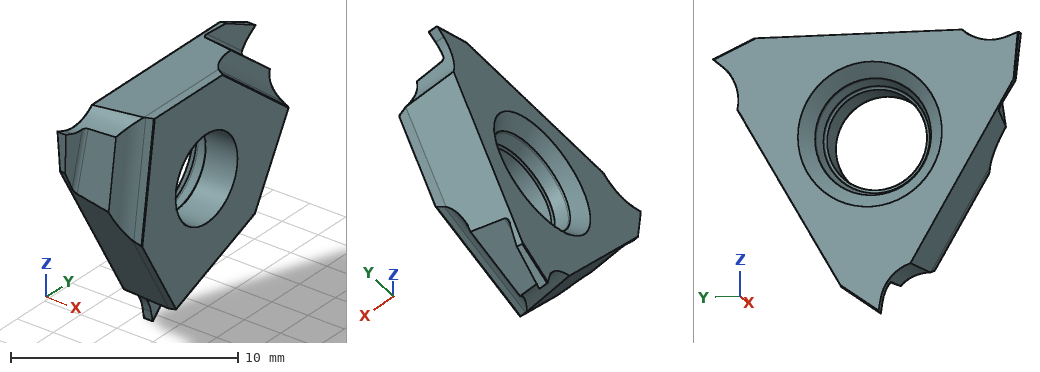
import cadquery as cq
import math


CORNERS = 3
CORNER_STEP = 360.0 / CORNERS
THICKNESS = 3.18
FAR = 20.0

SIDE_DISTANCE = 4.513
SIDE_DRAFT = 4.4
DRAFT_HEIGHT = 2.71
SIDE_GROWTH = DRAFT_HEIGHT * math.tan(math.radians(SIDE_DRAFT))
SIDE_NORMAL = 90.0

TIP_RADIUS = 7.972
TIP_ANGLE = 147.25
END_RELIEF = 5.2
END_NORMAL = 180.0 + END_RELIEF
END_DISTANCE = TIP_RADIUS * math.cos(math.radians(END_NORMAL - TIP_ANGLE))
TIP_Y = TIP_RADIUS * math.cos(math.radians(TIP_ANGLE))
TIP_Z = TIP_RADIUS * math.sin(math.radians(TIP_ANGLE))

RAKE_RADIUS = 2.0
RAKE_ANGLE = 20.3
RAKE_FLAT = 0.55
RAKE_OVERRUN = 1.0

TOOTH_TIP_WIDTH = 0.50
TOOTH_SIDE_CLEARANCE = 4.7
TOOTH_BACK_CLEARANCE = 1.7
WALL_DISTANCE = 5.83
WALL_TURN = 8.5
WALL_LEAN = 4.2
POCKET_FILLET = 0.19

RAMP_START = 2.08
RAMP_BREAK = 2.79
RAMP_ARC_DROP = 1.10
RAMP_FLAT_DROP = 0.13

EDGE_BREAK = 0.04

HEAD_RADIUS = 3.25
HEAD_DEPTH = 0.63
HEAD_INNER_RADIUS = HEAD_RADIUS - HEAD_DEPTH
BLEND_DEPTH = 0.73
BLEND_RADIUS = 2.60
NECK_DEPTH = 1.33
NECK_RADIUS = 2.40
LEDGE_DEPTH = 1.36
LEDGE_RADIUS = 2.36
BORE_START = 1.41
BORE_RADIUS = 2.25


def unit(degrees):
    """Unit direction in the YZ plane."""
    return math.cos(math.radians(degrees)), math.sin(math.radians(degrees))


def line_crossing(first, second):
    """Point where two lines meet, each given as (normal direction, distance from axis)."""
    (ay, az), (by, bz) = unit(first[0]), unit(second[0])
    det = ay * bz - az * by
    return (first[1] * bz - second[1] * az) / det, (ay * second[1] - by * first[1]) / det


def body_outline(side_distance):
    """Six-sided outline: three long sides and three short tooth end faces."""
    faces = []
    for i in range(CORNERS):
        faces.append((SIDE_NORMAL + i * CORNER_STEP, side_distance))
        faces.append((END_NORMAL + i * CORNER_STEP, END_DISTANCE))
    return [line_crossing(faces[i - 1], faces[i]) for i in range(len(faces))]


def make_body():
    """Drafted lower part with a straight-sided part on top; the tooth ends stay upright."""
    wide_outline = body_outline(SIDE_DISTANCE + SIDE_GROWTH)
    drafted = (
        cq.Workplane("YZ")
        .polyline(body_outline(SIDE_DISTANCE)).close()
        .workplane(offset=DRAFT_HEIGHT)
        .polyline(wide_outline).close()
        .loft(ruled=True)
    )
    square = (
        cq.Workplane("YZ", origin=(DRAFT_HEIGHT, 0, 0))
        .polyline(wide_outline).close()
        .extrude(THICKNESS - DRAFT_HEIGHT)
    )
    return drafted.union(square)


def make_rake_cutter():
    """Round hollow ending in a short flat through the cutting tip, cut along X."""
    slope_y, slope_z = unit(180.0 - RAKE_ANGLE)
    flat_start = (TIP_Y - RAKE_FLAT * slope_y, TIP_Z - RAKE_FLAT * slope_z)
    flat_end = (TIP_Y + RAKE_OVERRUN * slope_y, TIP_Z + RAKE_OVERRUN * slope_z)
    centre = (flat_start[0] + RAKE_RADIUS * slope_z, flat_start[1] - RAKE_RADIUS * slope_y)
    lowest = (centre[0], centre[1] - RAKE_RADIUS)
    arc_end = (centre[0] + RAKE_RADIUS, centre[1])
    return (
        cq.Workplane("YZ")
        .moveTo(*flat_end)
        .lineTo(*flat_start)
        .threePointArc(lowest, arc_end)
        .lineTo(flat_end[0], arc_end[1])
        .close()
        .extrude(THICKNESS)
    )


def wall_normal():
    """Outward normal of the pocket wall."""
    out_y, out_z = unit(180.0 - WALL_TURN)
    lean = math.radians(WALL_LEAN)
    return cq.Vector(math.sin(lean), out_y * math.cos(lean), out_z * math.cos(lean))


def wall_point(height):
    """Point of the pocket wall straight out from the axis at a given height."""
    out_y, out_z = unit(180.0 - WALL_TURN)
    distance = WALL_DISTANCE - height * math.tan(math.radians(WALL_LEAN))
    return cq.Vector(height, distance * out_y, distance * out_z)


def make_pocket_cutter():
    """Wedge between the tooth back and the pocket wall, with a filleted inner corner."""
    back_slope = math.tan(math.radians(TOOTH_BACK_CLEARANCE))
    side_slope = math.tan(math.radians(TOOTH_SIDE_CLEARANCE))
    tooth_normal = cq.Vector(1, back_slope, -side_slope).normalized()
    wall = wall_normal()
    along = wall.cross(tooth_normal).normalized()
    outward = tooth_normal.cross(along)

    wall_up = along.cross(wall)

    foot = wall_point(0)
    tip_back = cq.Vector(TOOTH_TIP_WIDTH, TIP_Y, TIP_Z)
    climb = (tip_back - foot).dot(tooth_normal) / wall_up.dot(tooth_normal)
    corner = foot + wall_up * climb

    plane = cq.Plane(origin=corner.toTuple(), xDir=outward.toTuple(), normal=along.toTuple())
    wall_run = FAR * wall_up.dot(outward) / wall_up.dot(tooth_normal)
    wedge = (
        cq.Workplane(plane)
        .polyline([(0, 0), (FAR, 0), (FAR, FAR), (wall_run, FAR)])
        .close()
        .extrude(FAR / 2, both=True)
    )
    return wedge.edges(cq.NearestToPointSelector(corner.toTuple())).fillet(POCKET_FILLET)


def make_ramp_cutter():
    """Hollow arc and flat that open the pocket towards the back face."""
    along = cq.Vector(1, 0, 0).cross(wall_normal())
    start = wall_point(RAMP_START)
    plane = cq.Plane(origin=start.toTuple(), xDir=(1, 0, 0), normal=along.toTuple())
    arc_rise = RAMP_BREAK - RAMP_START
    full_rise = THICKNESS - RAMP_START
    full_drop = RAMP_ARC_DROP + RAMP_FLAT_DROP
    radius = (arc_rise**2 + RAMP_ARC_DROP**2) / (2 * arc_rise)
    half_turn = math.atan2(arc_rise, RAMP_ARC_DROP)
    middle = (radius * (1 - math.cos(half_turn)), -radius * math.sin(half_turn))
    return (
        cq.Workplane(plane)
        .moveTo(0, FAR)
        .lineTo(0, 0)
        .threePointArc(middle, (arc_rise, -RAMP_ARC_DROP))
        .lineTo(full_rise - EDGE_BREAK, -full_drop)
        .lineTo(full_rise, -full_drop - EDGE_BREAK)
        .lineTo(full_rise, FAR)
        .close()
        .extrude(FAR / 2, both=True)
    )


def break_tooth_end(part):
    """Small chamfer where the tooth end face meets the seating face."""
    foot_y, foot_z = line_crossing(
        (END_NORMAL, END_DISTANCE), (SIDE_NORMAL + CORNER_STEP, SIDE_DISTANCE)
    )
    edge_middle = cq.Vector(0, (TIP_Y + foot_y) / 2, (TIP_Z + foot_z) / 2)
    return part.edges(cq.NearestToPointSelector(edge_middle.toTuple())).chamfer(EDGE_BREAK)


def make_hole():
    """Stepped screw hole, turned about X from its half profile of (height, radius)."""
    bore = [
        (0, 0),
        (0, HEAD_RADIUS),
        (HEAD_DEPTH, HEAD_INNER_RADIUS),
        (BLEND_DEPTH, BLEND_RADIUS),
        (NECK_DEPTH, NECK_RADIUS),
        (LEDGE_DEPTH, LEDGE_RADIUS),
        (BORE_START, BORE_RADIUS),
        (THICKNESS, BORE_RADIUS),
        (THICKNESS, 0),
    ]
    return cq.Workplane("XY").polyline(bore).close().revolve(360, (0, 0), (1, 0))


corner_cutters = [make_rake_cutter(), make_pocket_cutter(), make_ramp_cutter()]
result = make_body()
for _ in range(CORNERS):
    for cutter in corner_cutters:
        result = result.cut(cutter)
    result = break_tooth_end(result)
    result = result.rotate((0, 0, 0), (1, 0, 0), CORNER_STEP)
result = result.cut(make_hole())